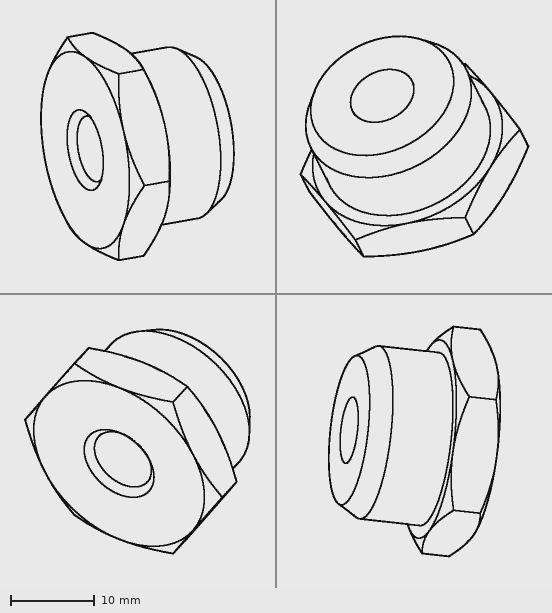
import cadquery as cq
import math

corner_width = 27.7
flat_width = corner_width * math.cos(math.radians(30))
total_length = 15.5
head_length = 5.5
shank_diameter = 20.95
shank_chamfer_length = 2.5
bore_diameter = 8.0
countersink_diameter = 9.8
countersink_angle = 45
chamfer_angle = 30

slope = math.tan(math.radians(chamfer_angle))


def revolve_about_y(profile):
    """Revolve a closed (radius, Y) outline around the part axis."""
    return cq.Workplane("XY").polyline(profile).close().revolve(360, (0, 0, 0), (0, 1, 0))


def make_head():
    """Hexagon with corners on X, its corners cut by a cone on both faces."""
    hexagon = cq.Workplane("XZ").polygon(6, corner_width).extrude(-head_length)
    face_radius = flat_width / 2
    outer_radius = corner_width
    drop = (outer_radius - face_radius) * slope
    front_cone = revolve_about_y([
        (0, 0),
        (face_radius, 0),
        (outer_radius, drop),
        (outer_radius, head_length + drop),
        (0, head_length + drop),
    ])
    back_cone = front_cone.mirror("XZ").translate((0, head_length, 0))
    return hexagon.intersect(front_cone).intersect(back_cone)


def make_shank():
    """Round shank with a tapered free end."""
    radius = shank_diameter / 2
    end_radius = radius - shank_chamfer_length * slope
    return revolve_about_y([
        (0, head_length),
        (radius, head_length),
        (radius, total_length - shank_chamfer_length),
        (end_radius, total_length),
        (0, total_length),
    ])


def make_bore():
    """Through bore with a countersink at the head face."""
    bore_radius = bore_diameter / 2
    mouth_radius = countersink_diameter / 2
    depth = (mouth_radius - bore_radius) / math.tan(math.radians(countersink_angle))
    return revolve_about_y([
        (0, 0),
        (mouth_radius, 0),
        (bore_radius, depth),
        (bore_radius, total_length),
        (0, total_length),
    ])


result = make_head().union(make_shank()).cut(make_bore())